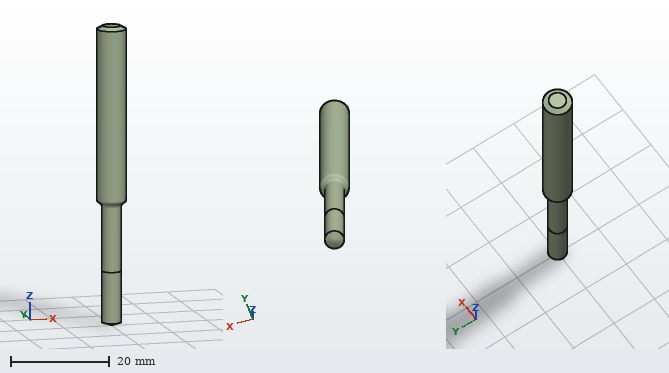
import cadquery as cq

TOTAL_LENGTH = 62.0
SHANK_RADIUS = 6.0 / 2
NECK_RADIUS = 3.95 / 2

END_FLAT_RADIUS = 3.6 / 2
BEVEL_HEIGHT = 0.7

POINT_HEIGHT = 0.7
JOINT_Z = 11.3
NECK_TOP_Z = 24.6
SHANK_BOTTOM_Z = 26.1

AXIAL_TANGENT = (0, 1)


def revolve_about_axis(profile):
    """Turn a closed (radius, height) profile a full revolution about Z."""
    return profile.close().revolve(360, (0, 0, 0), (0, 1, 0))


def make_shank():
    """Plain shank with a bevelled end, blended by an S-curve into a thinner neck."""
    profile = (
        cq.Workplane("XZ")
        .moveTo(0, JOINT_Z)
        .lineTo(NECK_RADIUS, JOINT_Z)
        .lineTo(NECK_RADIUS, NECK_TOP_Z)
        .spline(
            [(SHANK_RADIUS, SHANK_BOTTOM_Z)],
            tangents=[AXIAL_TANGENT, AXIAL_TANGENT],
            includeCurrent=True,
        )
        .lineTo(SHANK_RADIUS, TOTAL_LENGTH - BEVEL_HEIGHT)
        .lineTo(END_FLAT_RADIUS, TOTAL_LENGTH)
        .lineTo(0, TOTAL_LENGTH)
    )
    return revolve_about_axis(profile)


def make_cutting_tip():
    """Cylindrical tip with a shallow conical point, butted against the neck."""
    profile = (
        cq.Workplane("XZ")
        .moveTo(0, 0)
        .lineTo(NECK_RADIUS, POINT_HEIGHT)
        .lineTo(NECK_RADIUS, JOINT_Z)
        .lineTo(0, JOINT_Z)
    )
    return revolve_about_axis(profile)


shank = make_shank()
cutting_tip = make_cutting_tip()

result = cq.Compound.makeCompound([shank.val(), cutting_tip.val()])